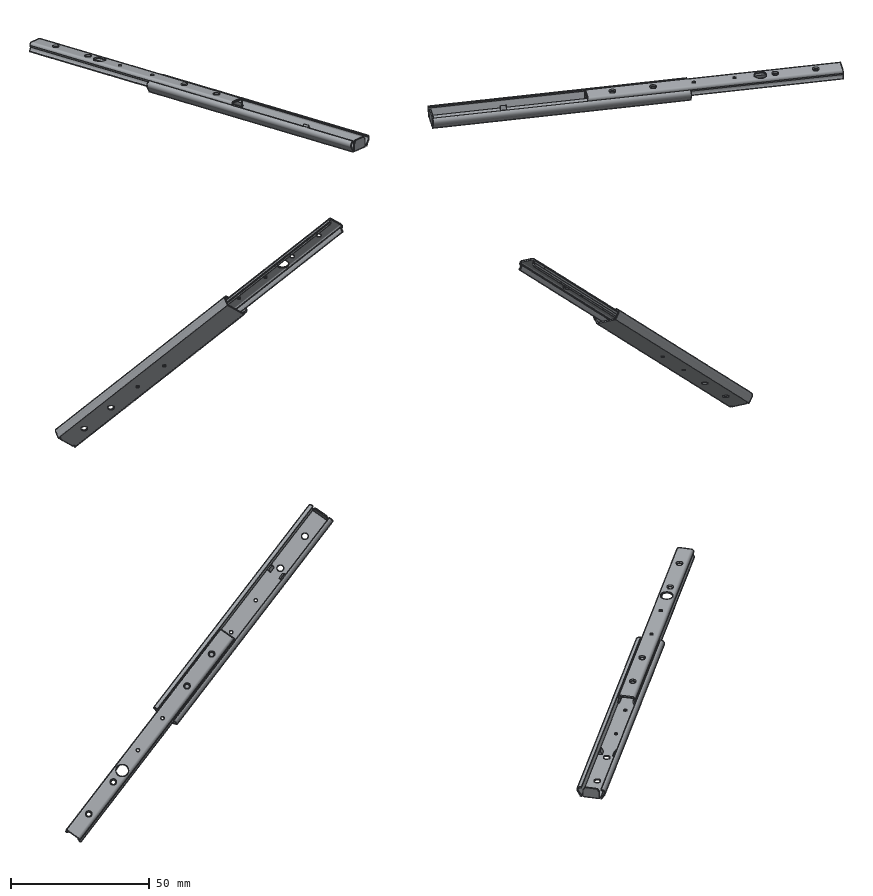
import cadquery as cq
import math

TOTAL_LENGTH = 151.2

INNER_LENGTH = 94.0
INNER_SHEET = 0.6
INNER_TOP_Z = 5.0
INNER_SHOULDER_HALF_WIDTH = 3.2
INNER_SHOULDER_RADIUS = 1.0
INNER_WAIST_HALF_WIDTH = 2.9
INNER_WAIST_Z = 3.2
INNER_FLARE_RADIUS = 2.0
INNER_FOOT_Z = 1.4
INNER_END_BEVEL = 0.3

OUTER_START_X = 56.2
OUTER_SHEET = 0.5
OUTER_HALF_WIDTH = 5.3
OUTER_TOP_Z = 4.2
OUTER_FLOOR_HALF_WIDTH = 4.0
OUTER_FLOOR_INNER_HALF_WIDTH = 3.5
OUTER_CREASE_Z = 1.8
OUTER_BULGE_RADIUS = 1.44
OUTER_LIP_HALF_WIDTH = 3.6

STOP_HALF_WIDTH = 3.0
STOP_TOP_HALF_WIDTH = 2.3
STOP_SHOULDER_Z = 2.9
STOP_TOP_Z = 4.1
RELIEF_WIDTH = 0.6

RIDGE_LENGTH = 2.3
RIDGE_X = 124.0
RIDGE_Y = 2.7
RIDGE_BASE = 1.7
RIDGE_TOP_Z = 2.0

HOLE_PITCH = 15.0
SMALL_HOLE_DIAMETER = 1.2
INNER_FIRST_HOLE_X = 9.5
SCREW_HOLE_DIAMETER = 1.7
COUNTERSINK_DIAMETER = 2.4
COUNTERSINK_ANGLE = 90
ACCESS_HOLE_DIAMETER = 4.5
ACCESS_HOLE_X = 30.0
OUTER_LAST_HOLE_X = 141.2
OUTER_SCREW_HOLE_DIAMETER = 2.4


def cross_section(start_x):
    """Workplane across the slide whose local axes are Y and Z."""
    return cq.Workplane("YZ", origin=(start_x, 0, 0))


def drill(body, x, diameter):
    """Cut a plain hole through the whole height of a rail."""
    return body.cut(cq.Workplane("XY").center(x, 0).circle(diameter / 2).extrude(INNER_TOP_Z))


def on_circle(centre, radius, angle):
    """Point of a circle in the YZ plane, at an angle measured from +Y towards +Z."""
    return (centre[0] + radius * math.cos(angle), centre[1] + radius * math.sin(angle))


def inner_half(side):
    """Half of the inner rail, from the centre plane to one foot (side is 1 or -1)."""
    def at(point):
        return (side * point[0], point[1])

    under_top_z = INNER_TOP_Z - INNER_SHEET
    shoulder = (INNER_SHOULDER_HALF_WIDTH - INNER_SHOULDER_RADIUS, INNER_TOP_Z - INNER_SHOULDER_RADIUS)
    shoulder_inside = INNER_SHOULDER_RADIUS - INNER_SHEET
    flare = (INNER_WAIST_HALF_WIDTH + INNER_FLARE_RADIUS, INNER_WAIST_Z)
    flare_inside = INNER_FLARE_RADIUS + INNER_SHEET
    middle_of_bend = math.radians(45)
    waist_angle = math.pi
    foot_angle = math.pi + math.asin((INNER_WAIST_Z - INNER_FOOT_Z) / flare_inside)
    middle_of_flare = (waist_angle + foot_angle) / 2

    return (
        cross_section(0)
        .moveTo(0, INNER_TOP_Z)
        .lineTo(*at((shoulder[0], INNER_TOP_Z)))
        .threePointArc(at(on_circle(shoulder, INNER_SHOULDER_RADIUS, middle_of_bend)),
                       at(on_circle(shoulder, INNER_SHOULDER_RADIUS, 0)))
        .lineTo(*at((INNER_WAIST_HALF_WIDTH, INNER_WAIST_Z)))
        .threePointArc(at(on_circle(flare, INNER_FLARE_RADIUS, middle_of_flare)),
                       at(on_circle(flare, INNER_FLARE_RADIUS, foot_angle)))
        .lineTo(*at(on_circle(flare, flare_inside, foot_angle)))
        .threePointArc(at(on_circle(flare, flare_inside, middle_of_flare)),
                       at(on_circle(flare, flare_inside, waist_angle)))
        .lineTo(*at(on_circle(shoulder, shoulder_inside, 0)))
        .threePointArc(at(on_circle(shoulder, shoulder_inside, middle_of_bend)),
                       at((shoulder[0], under_top_z)))
        .lineTo(0, under_top_z)
        .close()
        .extrude(INNER_LENGTH)
    )


def countersink(body, x):
    """Screw hole with a conical seat in the top face of the inner rail."""
    depth = (COUNTERSINK_DIAMETER - SCREW_HOLE_DIAMETER) / 2
    seat = (
        cq.Workplane("XY", origin=(x, 0, INNER_TOP_Z))
        .circle(COUNTERSINK_DIAMETER / 2)
        .extrude(-depth, taper=COUNTERSINK_ANGLE / 2)
    )
    return drill(body, x, SCREW_HOLE_DIAMETER).cut(seat)


def make_end_bevel():
    """Wedge that takes the top edge off the end of the inner rail."""
    return (
        cq.Workplane("XZ")
        .moveTo(INNER_LENGTH - INNER_END_BEVEL, INNER_TOP_Z)
        .lineTo(INNER_LENGTH, INNER_TOP_Z)
        .lineTo(INNER_LENGTH, INNER_TOP_Z - INNER_END_BEVEL)
        .close()
        .extrude(INNER_SHOULDER_HALF_WIDTH, both=True)
    )


def make_inner_rail():
    rail = inner_half(1).union(inner_half(-1)).clean()
    rail = rail.cut(make_end_bevel())

    hole_xs = [INNER_FIRST_HOLE_X + i * HOLE_PITCH for i in range(6)]
    for x in hole_xs[:2] + hole_xs[4:]:
        rail = countersink(rail, x)
    for x in hole_xs[2:4]:
        rail = drill(rail, x, SMALL_HOLE_DIAMETER)
    return drill(rail, ACCESS_HOLE_X, ACCESS_HOLE_DIAMETER)


def outer_half(side):
    """Half of the outer rail, from the centre plane to one lip (side is 1 or -1)."""
    def at(point):
        return (side * point[0], point[1])

    bulge = (OUTER_HALF_WIDTH - OUTER_BULGE_RADIUS, OUTER_TOP_Z - OUTER_BULGE_RADIUS)
    bulge_inside = OUTER_BULGE_RADIUS - OUTER_SHEET
    crease_angle = math.asin((OUTER_CREASE_Z - bulge[1]) / OUTER_BULGE_RADIUS)
    lip_underside_z = OUTER_TOP_Z - OUTER_SHEET

    return (
        cross_section(OUTER_START_X)
        .moveTo(0, 0)
        .lineTo(*at((OUTER_FLOOR_HALF_WIDTH, 0)))
        .lineTo(*at(on_circle(bulge, OUTER_BULGE_RADIUS, crease_angle)))
        .threePointArc(at(on_circle(bulge, OUTER_BULGE_RADIUS, 0)), at((bulge[0], OUTER_TOP_Z)))
        .lineTo(*at((OUTER_LIP_HALF_WIDTH, OUTER_TOP_Z)))
        .lineTo(*at((OUTER_LIP_HALF_WIDTH, lip_underside_z)))
        .lineTo(*at((bulge[0], lip_underside_z)))
        .threePointArc(at(on_circle(bulge, bulge_inside, 0)),
                       at(on_circle(bulge, bulge_inside, crease_angle)))
        .lineTo(*at((OUTER_FLOOR_INNER_HALF_WIDTH, OUTER_SHEET)))
        .lineTo(0, OUTER_SHEET)
        .close()
        .extrude(TOTAL_LENGTH - OUTER_START_X)
    )


def make_end_stop():
    half_outline = [
        (STOP_TOP_HALF_WIDTH, STOP_TOP_Z),
        (STOP_HALF_WIDTH, STOP_SHOULDER_Z),
        (STOP_HALF_WIDTH, 0),
    ]
    other_half = [(-y, z) for y, z in reversed(half_outline)]
    return (
        cross_section(TOTAL_LENGTH - OUTER_SHEET)
        .polyline(half_outline + other_half)
        .close()
        .extrude(OUTER_SHEET)
    )


def make_relief(side):
    """Notch that frees the end stop from the floor beside it."""
    return cq.Workplane("XY").box(2 * OUTER_SHEET, RELIEF_WIDTH, 2 * OUTER_CREASE_Z).translate(
        (TOTAL_LENGTH, side * (STOP_HALF_WIDTH + RELIEF_WIDTH / 2), 0))


def make_ridge(side):
    """Roof-shaped latch ridge standing on the floor."""
    centre_y = side * RIDGE_Y
    return (
        cross_section(RIDGE_X - RIDGE_LENGTH / 2)
        .moveTo(centre_y - RIDGE_BASE / 2, OUTER_SHEET)
        .lineTo(centre_y, RIDGE_TOP_Z)
        .lineTo(centre_y + RIDGE_BASE / 2, OUTER_SHEET)
        .close()
        .extrude(RIDGE_LENGTH)
    )


def make_outer_rail():
    rail = outer_half(1).union(outer_half(-1)).union(make_end_stop())
    for side in (1, -1):
        rail = rail.union(make_ridge(side)).cut(make_relief(side))
    rail = rail.clean()

    diameters = [OUTER_SCREW_HOLE_DIAMETER] * 2 + [SMALL_HOLE_DIAMETER] * 2
    for i, diameter in enumerate(diameters):
        rail = drill(rail, OUTER_LAST_HOLE_X - i * HOLE_PITCH, diameter)
    return rail


inner_rail = make_inner_rail()
outer_rail = make_outer_rail()

result = cq.Compound.makeCompound([inner_rail.solids().val(), outer_rail.solids().val()])